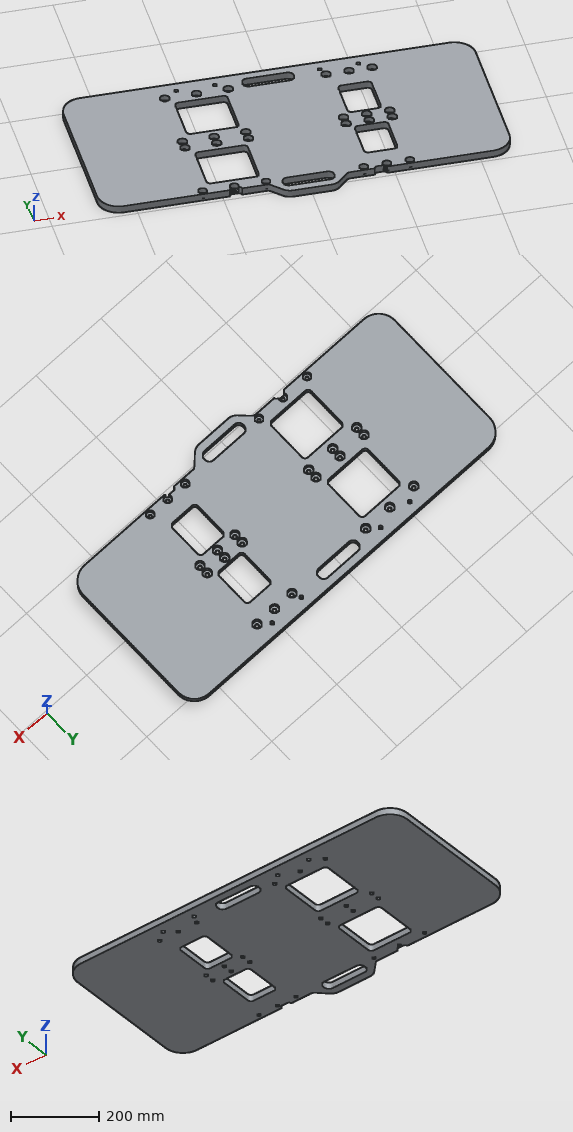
import cadquery as cq

length = 960.0
overall_width = 450.0
thickness = 18.0
plate_corner_radius = 50.0
front_y = -190.0
back_y = overall_width / 2
handle_y = -back_y
handle_reach = front_y - handle_y
plate_width = back_y - front_y

handle_half_root = 92.0
handle_half_tip = handle_half_root - handle_reach
handle_tip_radius = 30.0
handle_root_radius = 10.0

select_margin = 1.0

slot_length = 120.0
slot_width = 30.0
slot_corner_radius = 13.0
slot_margin = 20.0
slot_y = back_y - slot_margin - slot_width / 2

window_corner_radius = 10.0
left_window_x = -166.0
left_window_y = 95.0
left_window_length = 122.0
left_window_width = 120.0
right_window_x = 185.0
right_window_y = 78.0
right_window_length = 78.0
right_window_width = 102.0

left_group_x = -170.0
left_column_pitch = 74.0
right_group_x = right_window_x
right_column_pitch = 54.0
outer_row_y = 178.0
inner_row_y = 12.0
bore_diameter = 9.0
bore_sink_diameter = 22.0
front_bore_diameter = 8.0
front_sink_diameter = 20.0
sink_depth = 13.0

pin_diameter = 9.0
pin_y = 199.0
pin_half_spacings = (122.0, 212.0)

notch_x = 169.0
notch_length = 29.0
notch_depth = 7.0
notch_corner_radius = 8.0
notch_cutter_width = 19.0


def rounded_box(x, y, size_x, size_y, corner_radius):
    """Cutter through the full thickness, with rounded vertical edges."""
    cutter = cq.Workplane("XY").center(x, y).rect(size_x, size_y).extrude(thickness)
    return cutter.edges("|Z").fillet(corner_radius)


def make_plate():
    """Rounded plate joined to the handle, whose corners are rounded after the join."""
    plate = (
        cq.Workplane("XY")
        .center(0, (back_y + front_y) / 2)
        .rect(length, plate_width)
        .extrude(thickness)
        .edges("|Z")
        .fillet(plate_corner_radius)
    )
    handle = (
        cq.Workplane("XY")
        .moveTo(-handle_half_root, 0)
        .lineTo(-handle_half_root, front_y)
        .lineTo(-handle_half_tip, handle_y)
        .lineTo(handle_half_tip, handle_y)
        .lineTo(handle_half_root, front_y)
        .lineTo(handle_half_root, 0)
        .close()
        .extrude(thickness)
    )
    plate = plate.union(handle)
    tip_edges = cq.selectors.BoxSelector(
        (-length, handle_y - select_margin, -thickness),
        (length, handle_y + select_margin, 2 * thickness),
    )
    plate = plate.edges("|Z").edges(tip_edges).fillet(handle_tip_radius)
    root_edges = cq.selectors.BoxSelector(
        (-handle_half_root - select_margin, front_y - select_margin, -thickness),
        (handle_half_root + select_margin, front_y + select_margin, 2 * thickness),
    )
    return plate.edges("|Z").edges(root_edges).fillet(handle_root_radius)


def cut_openings(plate):
    """Grip slots and windows, each cut on both sides of the X axis."""
    for side in (-1, 1):
        slot = rounded_box(0, side * slot_y, slot_length, slot_width, slot_corner_radius)
        left_window = rounded_box(
            left_window_x,
            side * left_window_y,
            left_window_length,
            left_window_width,
            window_corner_radius,
        )
        right_window = rounded_box(
            right_window_x,
            side * right_window_y,
            right_window_length,
            right_window_width,
            window_corner_radius,
        )
        plate = plate.cut(slot).cut(left_window).cut(right_window)
    return plate


def cut_holes(plate):
    """Counterbored holes, smaller in the front row, and the plain pin holes."""
    columns = []
    for group_x, pitch in ((left_group_x, left_column_pitch), (right_group_x, right_column_pitch)):
        columns += [group_x - pitch, group_x, group_x + pitch]
    sunk_rows = (outer_row_y, inner_row_y, -inner_row_y)
    top = cq.Workplane("XY", origin=(0, 0, thickness))
    sunk_points = [(x, y) for x in columns for y in sunk_rows]
    front_points = [(x, -outer_row_y) for x in columns]
    for points, bore, sink in (
        (sunk_points, bore_diameter, bore_sink_diameter),
        (front_points, front_bore_diameter, front_sink_diameter),
    ):
        plate = plate.cut(top.pushPoints(points).circle(bore / 2).extrude(-thickness))
        plate = plate.cut(top.pushPoints(points).circle(sink / 2).extrude(-sink_depth))
    pin_points = [(side * x, pin_y) for side in (-1, 1) for x in pin_half_spacings]
    return plate.cut(top.pushPoints(pin_points).circle(pin_diameter / 2).extrude(-thickness))


def cut_notches(plate):
    """Shallow notches: rounded rectangles that reach into the front edge by the notch depth."""
    notch_y = front_y + notch_depth - notch_cutter_width / 2
    for side in (-1, 1):
        notch = rounded_box(
            side * notch_x,
            notch_y,
            notch_length,
            notch_cutter_width,
            notch_corner_radius,
        )
        plate = plate.cut(notch)
    return plate


result = cut_notches(cut_holes(cut_openings(make_plate())))